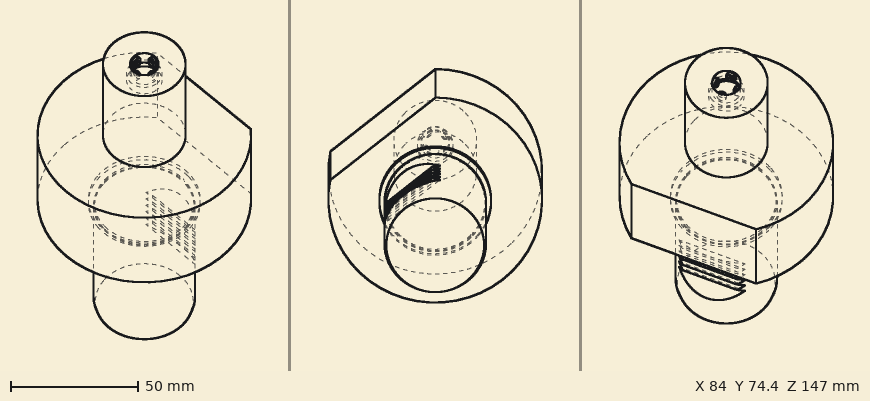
import cadquery as cq
import math

total_height = 147.0
flange_height = 40.0
spigot_length = 44.0
collar_height = 2.0
neck_height = 1.8

flange_diameter = 84.0
spigot_diameter = 32.5
collar_diameter = 44.0
shank_diameter = 40.0
neck_diameter = 39.1

flat_distance = 32.41

lead_height = 3.0
lead_angle = 15.0

notch_depth = 5.7
tooth_pitch = 4.0
valley_count = 6
notch_center_z = 33.2

hole_diameter = 11.2
hole_depth = 5.9
chamber_diameter = 14.0
chamber_height = 4.0
drill_point_angle = 118.0

pin_count = 4
pin_diameter = 4.0
pin_depth = 2.8
pin_shoulder_radius = 4.3
pin_tip_radius = 3.5
pin_tip_diameter = 2.6

flange_top = total_height - spigot_length
flange_bottom = flange_top - flange_height
collar_bottom = flange_bottom - collar_height
neck_bottom = collar_bottom - neck_height
shank_radius = shank_diameter / 2
hole_radius = hole_diameter / 2
chamber_radius = chamber_diameter / 2


def make_disc(diameter, bottom, top):
    """Cylinder on the Z axis between two levels."""
    return cq.Workplane("XY").workplane(offset=bottom).circle(diameter / 2).extrude(top - bottom)


def make_flange():
    flange = make_disc(flange_diameter, flange_bottom, flange_top)
    trim = (
        cq.Workplane("XY")
        .workplane(offset=flange_bottom)
        .center(0, flat_distance + flange_diameter / 2)
        .rect(2 * flange_diameter, flange_diameter)
        .extrude(flange_height)
    )
    return flange.cut(trim)


def make_shank():
    lead_inset = lead_height * math.tan(math.radians(lead_angle))
    profile = [
        (0, 0),
        (shank_radius - lead_inset, 0),
        (shank_radius, lead_height),
        (shank_radius, neck_bottom),
        (0, neck_bottom),
    ]
    return cq.Workplane("XZ").polyline(profile).close().revolve(360, (0, 0), (0, 1))


def make_notch():
    """Toothed cutter; its end flanks run at 45 degrees out to the shank surface."""
    valley_y = shank_radius - notch_depth
    crest_y = valley_y + tooth_pitch / 2
    first_valley_z = notch_center_z - tooth_pitch * (valley_count - 1) / 2
    last_valley_z = notch_center_z + tooth_pitch * (valley_count - 1) / 2
    points = [(shank_radius, first_valley_z - notch_depth)]
    for index in range(valley_count):
        valley_z = first_valley_z + index * tooth_pitch
        points.append((valley_y, valley_z))
        if index < valley_count - 1:
            points.append((crest_y, valley_z + tooth_pitch / 2))
    points.append((shank_radius, last_valley_z + notch_depth))
    return cq.Workplane("YZ").polyline(points).close().extrude(shank_radius, both=True)


def make_hole():
    point_height = chamber_radius / math.tan(math.radians(drill_point_angle / 2))
    chamber_top = total_height - hole_depth
    chamber_bottom = chamber_top - chamber_height
    profile = [
        (0, total_height),
        (hole_radius, total_height),
        (hole_radius, chamber_top),
        (chamber_radius, chamber_top),
        (chamber_radius, chamber_bottom),
        (0, chamber_bottom - point_height),
    ]
    return cq.Workplane("XZ").polyline(profile).close().revolve(360, (0, 0), (0, 1))


def make_pin():
    """Pin along +X with a tapered inner tip, rooted in the solid around the hole."""
    pin_radius = pin_diameter / 2
    root = (hole_radius + chamber_radius) / 2
    profile = [
        (pin_tip_radius, 0),
        (pin_tip_radius, pin_tip_diameter / 2),
        (pin_shoulder_radius, pin_radius),
        (root, pin_radius),
        (root, 0),
    ]
    pin = cq.Workplane("XZ").polyline(profile).close().revolve(360, (0, 0), (1, 0))
    return pin.translate((0, 0, total_height - pin_depth))


result = (
    make_shank()
    .union(make_disc(neck_diameter, neck_bottom, collar_bottom))
    .union(make_disc(collar_diameter, collar_bottom, flange_bottom))
    .union(make_flange())
    .union(make_disc(spigot_diameter, flange_top, total_height))
    .cut(make_notch())
    .cut(make_hole())
)
for index in range(pin_count):
    pin_angle = index * 360 / pin_count
    result = result.union(make_pin().rotate((0, 0, 0), (0, 0, 1), pin_angle))